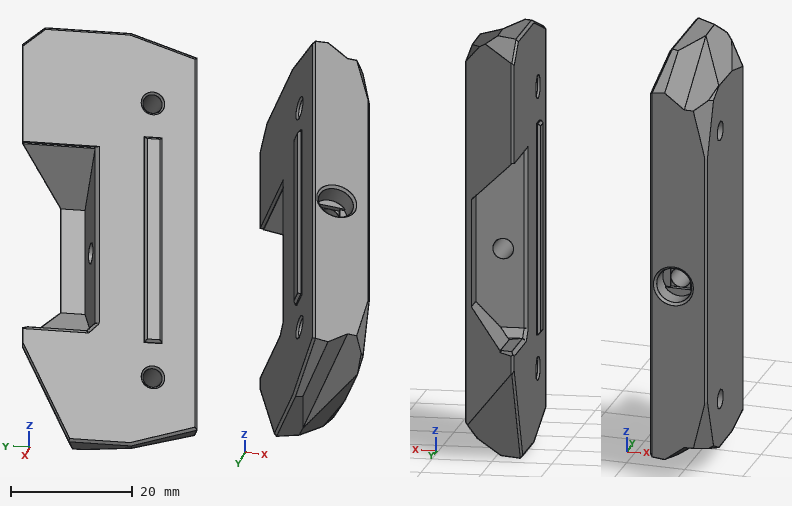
import cadquery as cq
import math

thickness = 9.8
width = 29.3
length = 71.5
half_length = length / 2

far_side_land = 0.5
edge_chamfer = 0.4
long_edge_chamfer = 0.35

pocket_y = 17.1
pocket_floor_x = 8.65
pocket_top_z = 15.65
pocket_floor_bottom_z = -10.65
pocket_bottom_z = -16.2
pocket_bottom_dip = 0.3
pocket_top_land = 0.35
pocket_bottom_land = 2.8
pocket_corner = 1.4
pocket_chamfer = 0.6

rib_y = 7.5
rib_width = 3.0
rib_length = 35.6
rib_height = 0.65
rib_chamfer = 0.4
screw_diameter = 3.2
screw_spacing = 47.5
screw_chamfer = 0.35

bolt_x = 4.1
bolt_z = -1.6
bolt_diameter = 3.4
head_diameter = 6.0
head_depth = 3.4
head_chamfer = 0.4
step_depth = 0.35

oversize = 143.0


def beyond(p, q, r):
    """Block filling the side of the plane p-q-r that faces away from the part's middle."""
    origin = cq.Vector(*p)
    normal = (cq.Vector(*q) - origin).cross(cq.Vector(*r) - origin)
    middle = cq.Vector(thickness / 2, width / 3, 0)
    if normal.dot(middle - origin) > 0:
        normal = normal * -1
    return (
        cq.Workplane(cq.Plane(origin=p, normal=normal.toTuple()))
        .rect(oversize, oversize)
        .extrude(oversize)
    )


def plate():
    """Block with its far side falling back at 45 degrees behind a narrow square strip."""
    block = cq.Workplane("XY").box(thickness, width, length, centered=(False, False, True))
    far_side_end = width + far_side_land - thickness
    return block.cut(
        beyond(
            (far_side_land, width, -half_length),
            (far_side_land, width, half_length),
            (thickness, far_side_end, 0),
        )
    )


ridge_near = (1.6, 10.7, half_length)
ridge_peak = (3.9, 18.4, half_length)
ridge_far = (3.8, 23.5, half_length)
edge_start = (0.5, 0.0, 32.25)
edge_left = (2.6, 0.0, 32.5)
edge_mid = (5.9, 0.0, 29.9)
edge_right = (7.5, 0.0, 29.9)
long_edge_end = (9.45, 0.0, 21.9)
corner_inner = (9.2, 3.0, 30.8)
corner_low = (9.8, 3.2, 30.3)
corner_high = (9.8, 6.9, 32.05)
far_slope_start = (6.9, 22.95, 33.75)
far_slope_end = (9.8, 13.7, 32.0)
far_slope_foot = (9.8, 20.0, 30.4)

end_facets = [
    (ridge_near, edge_start, edge_left),
    (ridge_peak, ridge_far, corner_high),
    (edge_right, long_edge_end, corner_inner),
    (corner_inner, corner_low, corner_high),
    (far_slope_start, far_slope_end, far_slope_foot),
]
valley_facets = [
    (ridge_near, ridge_peak, edge_left),
    (ridge_peak, edge_mid, edge_right),
]

top_corner_facet = ((0.4, 25.45, half_length), ridge_far, (0.4, 29.3, 32.55))
bottom_corner_facet = ((0.0, 21.75, -half_length), (7.15, 18.9, -half_length), (0.0, 29.3, -20.25))


def mirrored(facet):
    """The same facet at the lower end."""
    return [(x, y, -z) for x, y, z in facet]


def faceted_body():
    """Plate with both ends cut to facets and the rim of the mounting face chamfered."""
    body = plate()
    body = body.faces(">X").edges("<Y").chamfer(long_edge_chamfer)
    for facet in end_facets:
        body = body.cut(beyond(*facet))
        body = body.cut(beyond(*mirrored(facet)))
    first, second = valley_facets
    body = body.cut(beyond(*first).intersect(beyond(*second)))
    body = body.cut(beyond(*mirrored(first)).intersect(beyond(*mirrored(second))))
    body = body.cut(beyond(*top_corner_facet)).cut(beyond(*bottom_corner_facet))
    return body.faces("<X").edges("not >Y").chamfer(edge_chamfer)


def pocket():
    """Pocket open to the far side and the mounting face, closed by a floor, with sloping ends."""
    profile = [
        (0, pocket_bottom_z),
        (pocket_chamfer, pocket_bottom_z),
        (pocket_bottom_land, pocket_bottom_z - pocket_bottom_dip),
        (pocket_floor_x, pocket_floor_bottom_z),
        (pocket_floor_x, pocket_top_z - pocket_floor_x + pocket_top_land),
        (pocket_top_land, pocket_top_z),
        (0, pocket_top_z),
    ]
    tool = (
        cq.Workplane("XZ", origin=(0, pocket_y, 0))
        .polyline(profile).close().extrude(-width)
    )
    corner_outline = [
        (0, pocket_corner),
        (pocket_corner, 0),
        (pocket_corner, -pocket_corner),
        (0, -pocket_corner),
    ]
    corner = (
        cq.Workplane("YZ", origin=(0, pocket_y, pocket_bottom_z))
        .polyline(corner_outline).close().extrude(thickness)
    )
    return tool.cut(corner)


def pocket_mouth():
    """Flared rim along the pocket's side and lower ledge; the upper edge stays sharp."""
    beyond_width = 2 * width
    outline = [
        (pocket_y, half_length),
        (pocket_y, pocket_bottom_z + pocket_corner),
        (pocket_y + pocket_corner, pocket_bottom_z),
        (beyond_width, pocket_bottom_z),
        (beyond_width, half_length),
    ]
    flare = (
        cq.Workplane("YZ", origin=(pocket_chamfer, 0, 0))
        .polyline(outline).close().extrude(-pocket_chamfer, taper=-45)
    )
    above_pocket = (
        cq.Workplane("XY", origin=(0, 0, pocket_top_z))
        .rect(oversize, oversize).extrude(oversize)
    )
    return flare.cut(above_pocket)


def ledge_far_chamfer():
    """Wedge along the edge between the pocket's lower ledge and the 45 degree far side."""
    start = cq.Plane(
        origin=(0, width + far_side_land, pocket_bottom_z), xDir=(1, 1, 0), normal=(1, -1, 0)
    )
    return (
        cq.Workplane(start)
        .polyline([(0, 0), (-pocket_chamfer, 0), (0, -pocket_chamfer)]).close()
        .extrude(pocket_bottom_land * math.sqrt(2))
    )


def rib():
    """Raised bar on the mounting face."""
    return (
        cq.Workplane("YZ", origin=(0, rib_y, 0))
        .rect(rib_width, rib_length).extrude(-rib_height)
        .faces("<X").chamfer(rib_chamfer)
    )


def hole(entry, diameter, depth, chamfer):
    """Round hole along the normal of the entry plane, with a chamfered rim."""
    radius = diameter / 2
    rim = cq.Solid.makeCone(
        radius + chamfer, radius, chamfer, pnt=entry.origin, dir=entry.zDir
    )
    return cq.Workplane(entry).circle(radius).extrude(depth).union(cq.Workplane(rim))


def bolt_hole():
    """Head bore, then a slot and a square step that lead down to the round bolt hole."""
    entry = cq.Plane(origin=(bolt_x, 0, bolt_z), xDir=(1, 0, 0), normal=(0, 1, 0))
    tool = hole(entry, head_diameter, head_depth, head_chamfer)
    head = cq.Workplane(entry).circle(head_diameter / 2).extrude(head_depth + step_depth)
    slot = cq.Workplane(entry).rect(head_diameter, bolt_diameter).extrude(head_depth + step_depth)
    square = (
        cq.Workplane(entry).rect(bolt_diameter, bolt_diameter)
        .extrude(head_depth + 2 * step_depth)
    )
    shank = cq.Workplane(entry).circle(bolt_diameter / 2).extrude(width)
    return tool.union(slot.intersect(head)).union(square).union(shank)


body = faceted_body().cut(pocket()).cut(pocket_mouth())
body = body.cut(ledge_far_chamfer()).union(rib())
for side in (-1, 1):
    screw_entry = cq.Plane(
        origin=(0, rib_y, side * screw_spacing / 2), xDir=(0, 1, 0), normal=(1, 0, 0)
    )
    body = body.cut(hole(screw_entry, screw_diameter, thickness, screw_chamfer))
result = body.cut(bolt_hole())